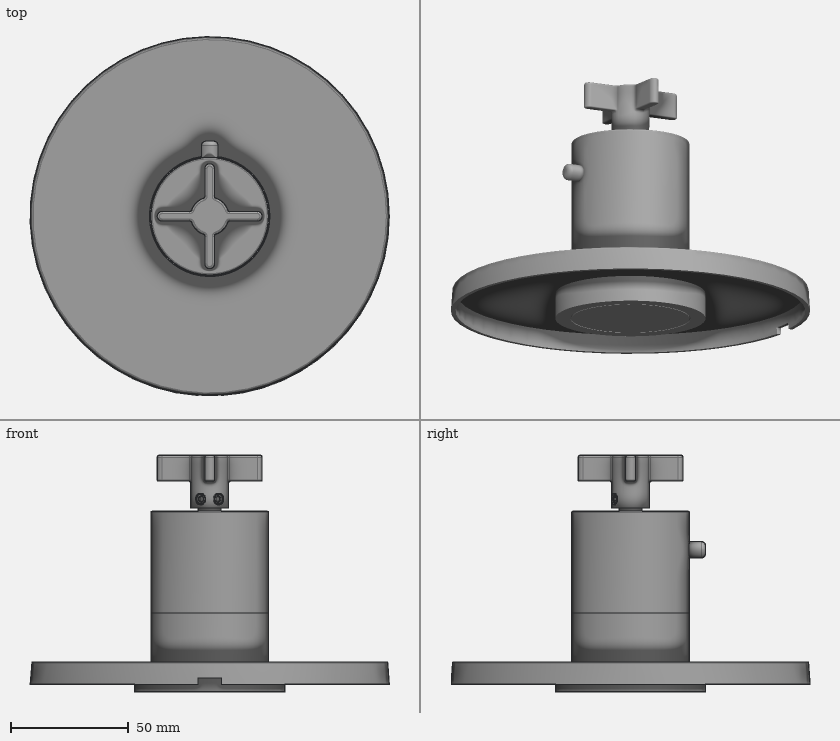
import cadquery as cq
import math

PLATE_RADIUS = 76.2
PLATE_BOTTOM = 3.2
PLATE_HEIGHT = 9.6
PLATE_DRAFT = 4.0
PLATE_EDGE_FILLET = 0.6
PLATE_WALL = 2.0
BOSS_RADIUS = 31.9
NOTCH_WIDTH = 9.9
NOTCH_HEIGHT = 2.7

BARREL_RADIUS = 25.0
BORE_CLEARANCE = 0.5
COLLAR_TOP = 33.5
KNOB_TOP = 76.7
KNOB_EDGE_FILLET = 0.6

PIN_RADIUS = 3.5
PIN_TIP = 31.9
PIN_SEAT = 19.8
PIN_HEIGHT = 60.4
PIN_TIP_FILLET = 1.8

HUB_RADIUS = 8.1
HUB_BOTTOM = 78.0
HANDLE_TOP = 100.5
NECK_RADIUS = 4.9
ARM_DIRECTIONS = (0, 90)
ARM_REACH = 22.3
ARM_WIDTH = 4.1
ARM_HEIGHT = 11.0
ARM_ROOT_FILLET = 0.9
ARM_TOP_FILLET = 0.9
ARM_BOTTOM_FILLET = 0.5

SCREW_RADIUS = 2.5
SCREW_ANGLES = (-30.0, 30.0)
SCREW_HEIGHT = 81.8
SCREW_SEAT = 5.2
SCREW_LENGTH = 2.3
SOCKET_ACROSS_FLATS = 2.5
SOCKET_DEPTH = 1.2
SCREW_CHAMFER = 0.5

PLATE_TOP = PLATE_BOTTOM + PLATE_HEIGHT
ARM_BOTTOM = HANDLE_TOP - ARM_HEIGHT


def cylinder(radius, bottom, top):
    return cq.Workplane("XY", origin=(0, 0, bottom)).circle(radius).extrude(top - bottom)


def make_plate():
    outside = (
        cq.Workplane("XY", origin=(0, 0, PLATE_BOTTOM))
        .circle(PLATE_RADIUS)
        .extrude(PLATE_HEIGHT, taper=PLATE_DRAFT)
        .faces(">Z").edges().fillet(PLATE_EDGE_FILLET)
    )
    hollow = (
        cq.Workplane("XY", origin=(0, 0, PLATE_BOTTOM))
        .circle(PLATE_RADIUS - PLATE_WALL)
        .extrude(PLATE_HEIGHT - PLATE_WALL, taper=PLATE_DRAFT)
    )
    notch = (
        cq.Workplane("XY", origin=(0, -PLATE_RADIUS, PLATE_BOTTOM))
        .box(NOTCH_WIDTH, PLATE_RADIUS, NOTCH_HEIGHT, centered=(True, False, False))
    )
    boss = cylinder(BOSS_RADIUS, 0, PLATE_TOP)
    bore = cylinder(BARREL_RADIUS + BORE_CLEARANCE, 0, PLATE_TOP)
    return outside.cut(hollow).cut(notch).union(boss).cut(bore)


def make_collar():
    return cylinder(BARREL_RADIUS, 0, COLLAR_TOP)


def pin_blank():
    """Plain pin along +Y, from its seat inside the knob to its tip."""
    return (
        cq.Workplane("XZ", origin=(0, PIN_SEAT, PIN_HEIGHT))
        .circle(PIN_RADIUS)
        .extrude(PIN_SEAT - PIN_TIP)
    )


def make_pin():
    return pin_blank().faces(">Y").edges().fillet(PIN_TIP_FILLET)


def make_knob():
    knob = cylinder(BARREL_RADIUS, COLLAR_TOP, KNOB_TOP)
    return knob.faces(">Z").edges().fillet(KNOB_EDGE_FILLET).cut(pin_blank())


def screw_plane(angle):
    """Plane at the inner end of a screw, facing outward along the screw axis."""
    outward = cq.Vector(math.sin(math.radians(angle)), -math.cos(math.radians(angle)), 0)
    seat = outward * SCREW_SEAT + cq.Vector(0, 0, SCREW_HEIGHT)
    return cq.Plane(origin=seat, xDir=(0, 0, 1), normal=outward)


def make_screw(angle):
    socket_across_corners = SOCKET_ACROSS_FLATS / math.cos(math.pi / 6)
    shank = cq.Workplane(screw_plane(angle)).circle(SCREW_RADIUS).extrude(SCREW_LENGTH)
    shank = shank.edges("%CIRCLE").chamfer(SCREW_CHAMFER)
    socket = (
        cq.Workplane(screw_plane(angle))
        .workplane(offset=SCREW_LENGTH - SOCKET_DEPTH)
        .polygon(6, socket_across_corners)
        .extrude(SOCKET_DEPTH)
    )
    return shank.cut(socket)


def make_arm_pair(direction):
    """Round-ended bar through the hub axis: two opposite arms."""
    return (
        cq.Workplane("XY", origin=(0, 0, ARM_BOTTOM))
        .slot2D(2 * ARM_REACH, ARM_WIDTH, direction)
        .extrude(ARM_HEIGHT)
        .faces("<Z").edges().fillet(ARM_BOTTOM_FILLET)
    )


def arm_root_edges():
    """Selects the edges where the arms meet the hub, leaving out those on the top face."""
    return cq.selectors.BoxSelector(
        (-HUB_RADIUS, -HUB_RADIUS, ARM_BOTTOM - ARM_BOTTOM_FILLET),
        (HUB_RADIUS, HUB_RADIUS, HANDLE_TOP - ARM_TOP_FILLET),
    )


def make_handle():
    handle = cylinder(HUB_RADIUS, HUB_BOTTOM, HANDLE_TOP)
    for direction in ARM_DIRECTIONS:
        handle = handle.union(make_arm_pair(direction))
    handle = handle.edges(arm_root_edges()).fillet(ARM_ROOT_FILLET)
    handle = handle.faces(">Z").edges().fillet(ARM_TOP_FILLET)
    handle = handle.union(cylinder(NECK_RADIUS, KNOB_TOP, HUB_BOTTOM))
    for angle in SCREW_ANGLES:
        screw_hole = cq.Workplane(screw_plane(angle)).circle(SCREW_RADIUS).extrude(HUB_RADIUS)
        handle = handle.cut(screw_hole)
    return handle


plate = make_plate()
collar = make_collar()
knob = make_knob()
pin = make_pin()
handle = make_handle()
screws = [make_screw(angle) for angle in SCREW_ANGLES]

result = cq.Compound.makeCompound(
    [plate.val(), collar.val(), knob.val(), pin.val(), handle.val()]
    + [screw.val() for screw in screws]
)